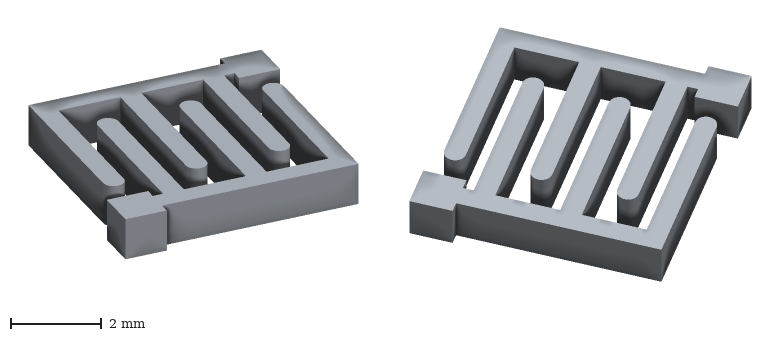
import cadquery as cq

overall = 6.0
pad_size = overall / 6
thickness = pad_size
bar_width = pad_size / 2
finger_gap = bar_width
tip_clearance = 0.75
finger_count = 3

half = overall / 2
pad_center = half - pad_size / 2
spine_outer = pad_center + bar_width / 2
spine_inner = pad_center - bar_width / 2
finger_length = spine_outer + spine_inner - tip_clearance
finger_pitch = 2 * (bar_width + finger_gap)


def block(x_min, y_min, length, width):
    """Upright block with its lower corner at (x_min, y_min, 0)."""
    return cq.Workplane("XY").box(length, width, thickness, centered=False).translate((x_min, y_min, 0))


def make_finger(y_min):
    """Finger running in +X from the spine, with a full-round tip."""
    tip_radius = bar_width / 2
    straight_length = finger_length - tip_radius
    return (
        cq.Workplane("XY")
        .moveTo(-spine_outer, y_min)
        .line(straight_length, 0)
        .threePointArc(
            (-spine_outer + finger_length, y_min + tip_radius),
            (-spine_outer + straight_length, y_min + bar_width),
        )
        .line(-straight_length, 0)
        .close()
        .extrude(thickness)
    )


def make_comb():
    """Comb with its spine on the -X side and its pad in the +Y corner."""
    pad_y_min = half - pad_size
    comb = block(-half, pad_y_min, pad_size, pad_size)
    comb = comb.union(block(-spine_outer, -spine_outer, bar_width, pad_y_min + spine_outer))
    for index in range(finger_count):
        comb = comb.union(make_finger(-spine_outer + index * finger_pitch))
    return comb.clean()


combs = []
for turn in (0, 180):
    combs.append(make_comb().rotate((0, 0, 0), (0, 0, 1), turn).val())

result = cq.Compound.makeCompound([solid for comb in combs for solid in comb.Solids()])